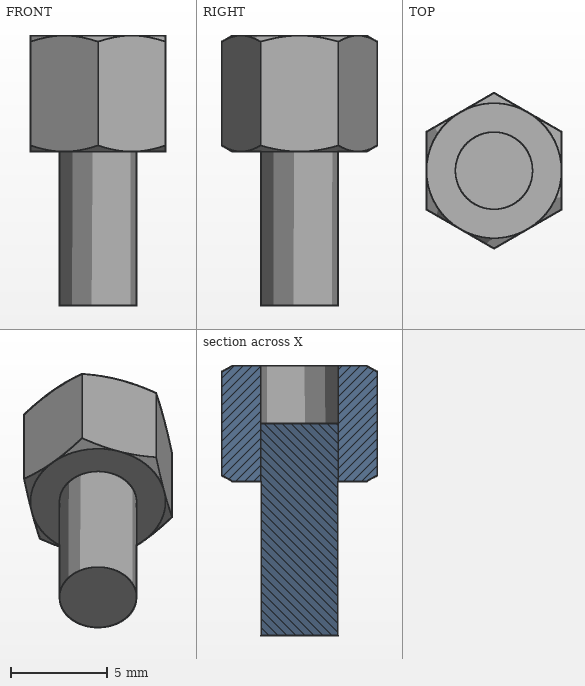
import cadquery as cq
import math

total_height = 14.0
across_flats = 7.0
nut_height = 6.0
rod_diameter = 4.0
socket_depth = 3.0
chamfer_angle = 30.0
hex_sides = 6

nut_bottom = total_height - nut_height
rod_length = total_height - socket_depth
flat_radius = across_flats / 2
corner_radius = flat_radius / math.cos(math.pi / hex_sides)
chamfer_drop = (corner_radius - flat_radius) * math.tan(math.radians(chamfer_angle))


def make_chamfer_envelope():
    """Turned blank whose conical ends cut back the corners of the hexagon."""
    return (
        cq.Workplane("XZ")
        .moveTo(0, nut_bottom)
        .lineTo(flat_radius, nut_bottom)
        .lineTo(corner_radius, nut_bottom + chamfer_drop)
        .lineTo(corner_radius, total_height - chamfer_drop)
        .lineTo(flat_radius, total_height)
        .lineTo(0, total_height)
        .close()
        .revolve(360, (0, 0, 0), (0, 1, 0))
    )


def make_nut():
    """Hexagonal nut with flats facing X, chamfered corners and a through bore."""
    hexagon = (
        cq.Workplane("XY", origin=(0, 0, nut_bottom))
        .polygon(hex_sides, 2 * corner_radius)
        .extrude(nut_height)
        .rotate((0, 0, 0), (0, 0, 1), 90)
    )
    bore = (
        cq.Workplane("XY", origin=(0, 0, nut_bottom))
        .circle(rod_diameter / 2)
        .extrude(nut_height)
    )
    return hexagon.intersect(make_chamfer_envelope()).cut(bore).solids()


def make_rod():
    """Plain round rod that fills the lower part of the nut's bore."""
    return cq.Workplane("XY").circle(rod_diameter / 2).extrude(rod_length)


nut = make_nut()
rod = make_rod()

result = cq.Compound.makeCompound([nut.val(), rod.val()])